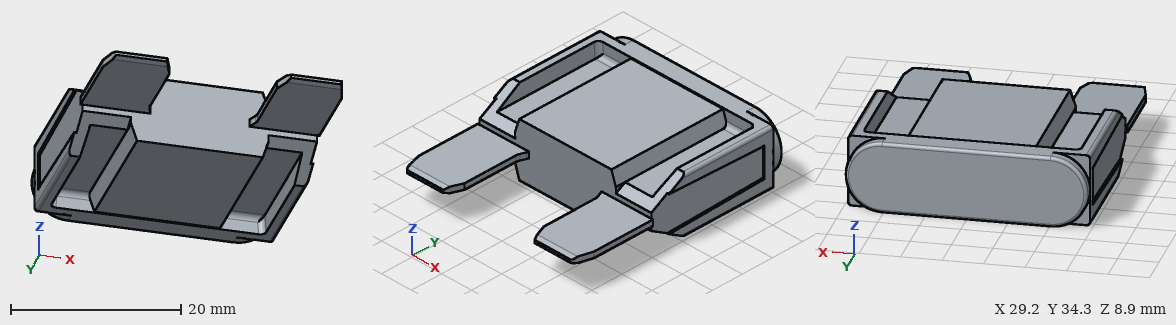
import cadquery as cq
import math


WIDTH = 29.2
HEIGHT = 8.9
TOTAL_LENGTH = 34.3
BLADE_LENGTH = 12.7
HOUSING_LENGTH = TOTAL_LENGTH - BLADE_LENGTH
CAP_THICKNESS = 1.6
CAP_EDGE_RADIUS = 0.4
LONG_EDGE_RADIUS = 0.48
BEVEL_LENGTH = 5.5
BEVEL_ANGLE = 30.0

BACK_WALL = 3.1
POCKET_BACK = HOUSING_LENGTH - BACK_WALL
POCKET_FLOOR = 2.15
POCKET_FLOOR_WIDTH = 25.87
POCKET_RIM_WIDTH = 26.2
POCKET_RADIUS = 0.72

BLOCK_HEIGHT = 8.6
BLOCK_TOP_WIDTH = 15.37
BLOCK_BASE_WIDTH = 16.8

PANEL_DEPTH = 0.27
PANEL_BACK = POCKET_BACK
PANEL_BACK_HEIGHT = 4.63
PANEL_FRONT_HEIGHT = 5.75

BLADE_THICKNESS = 0.93
BLADE_INNER_X = 6.6
BLADE_OUTER_X = WIDTH / 2
ROOT_INNER = (6.05, 0)
ROOT_SLOPE_START = (6.18, -0.35)
ROOT_SLOPE_END = (6.5, -1.1)
ROOT_LENGTH = 1.6
INNER_TAPER_START = 10.15
OUTER_TAPER_START = 9.78
TIP_INNER_X = 7.58
TIP_OUTER_X = 13.8
TIP_CORNER_RADIUS = 0.27
TIP_CHAMFER_LENGTH = 0.8
TIP_CHAMFER_DEPTH = 0.25


def on_both_sides(shape, plane):
    """Return the shape joined with its mirror image."""
    return shape.union(shape.mirror(plane))


def make_housing():
    """Box with rounded long edges, bevelled down to a thin front edge."""
    body_length = HOUSING_LENGTH - CAP_THICKNESS
    body = (
        cq.Workplane("XY")
        .box(WIDTH, body_length, HEIGHT, centered=(True, False, True))
        .edges("|Y")
        .fillet(LONG_EDGE_RADIUS)
    )
    bevel_drop = BEVEL_LENGTH * math.tan(math.radians(BEVEL_ANGLE))
    bevel = (
        cq.Workplane("YZ")
        .moveTo(0, HEIGHT / 2 - bevel_drop)
        .lineTo(BEVEL_LENGTH, HEIGHT / 2)
        .lineTo(0, HEIGHT / 2)
        .close()
        .extrude(WIDTH / 2, both=True)
    )
    return body.cut(on_both_sides(bevel, "XY"))


def make_cap():
    """Back plate with semicircular ends and a rounded rear rim."""
    return (
        cq.Workplane("XZ", origin=(0, HOUSING_LENGTH, 0))
        .slot2D(WIDTH, HEIGHT)
        .extrude(CAP_THICKNESS)
        .faces(">Y")
        .edges()
        .fillet(CAP_EDGE_RADIUS)
    )


def make_pocket():
    """Upper pocket, open at the front, with sides that flare towards the rim."""
    section = [
        (-POCKET_FLOOR_WIDTH / 2, POCKET_FLOOR),
        (POCKET_FLOOR_WIDTH / 2, POCKET_FLOOR),
        (POCKET_RIM_WIDTH / 2, HEIGHT / 2),
        (-POCKET_RIM_WIDTH / 2, HEIGHT / 2),
    ]
    return (
        cq.Workplane("XZ", origin=(0, POCKET_BACK, 0))
        .polyline(section)
        .close()
        .extrude(POCKET_BACK)
        .faces(">Y")
        .edges("not(>Z)")
        .fillet(POCKET_RADIUS)
    )


def make_block():
    """Central block whose flanks slope in above the pocket floors."""
    upper_flank = [
        (BLOCK_BASE_WIDTH / 2, POCKET_FLOOR),
        (BLOCK_TOP_WIDTH / 2, BLOCK_HEIGHT / 2),
    ]
    right_side = [(x, -z) for x, z in reversed(upper_flank)] + upper_flank
    left_side = [(-x, -z) for x, z in right_side]
    return (
        cq.Workplane("XZ", origin=(0, POCKET_BACK, 0))
        .polyline(right_side + left_side)
        .close()
        .extrude(POCKET_BACK)
    )


def make_side_panel():
    """Shallow recess in the +X side, widening towards the front."""
    outline = [
        (0, -PANEL_FRONT_HEIGHT / 2),
        (PANEL_BACK, -PANEL_BACK_HEIGHT / 2),
        (PANEL_BACK, PANEL_BACK_HEIGHT / 2),
        (0, PANEL_FRONT_HEIGHT / 2),
    ]
    return (
        cq.Workplane("YZ", origin=(WIDTH / 2 - PANEL_DEPTH, 0, 0))
        .polyline(outline)
        .close()
        .extrude(PANEL_DEPTH)
    )


def make_blade():
    """Blade on the +X side, flared at its root, tapered and chamfered at its tip."""
    blade = (
        cq.Workplane("XY")
        .moveTo(BLADE_OUTER_X, 0)
        .lineTo(BLADE_OUTER_X, -OUTER_TAPER_START)
        .lineTo(TIP_OUTER_X, -BLADE_LENGTH)
        .lineTo(TIP_INNER_X, -BLADE_LENGTH)
        .lineTo(BLADE_INNER_X, -INNER_TAPER_START)
        .lineTo(BLADE_INNER_X, -ROOT_LENGTH)
        .tangentArcPoint(ROOT_SLOPE_END, relative=False)
        .lineTo(*ROOT_SLOPE_START)
        .tangentArcPoint(ROOT_INNER, relative=False)
        .close()
        .extrude(BLADE_THICKNESS / 2, both=True)
    )
    outer_tip_corner = cq.selectors.NearestToPointSelector((TIP_OUTER_X, -BLADE_LENGTH, 0))
    blade = blade.edges("|Z").edges(outer_tip_corner).fillet(TIP_CORNER_RADIUS)
    tip_chamfer = (
        cq.Workplane("YZ")
        .moveTo(-BLADE_LENGTH, BLADE_THICKNESS / 2)
        .lineTo(-BLADE_LENGTH, BLADE_THICKNESS / 2 - TIP_CHAMFER_DEPTH)
        .lineTo(-BLADE_LENGTH + TIP_CHAMFER_LENGTH, BLADE_THICKNESS / 2)
        .close()
        .extrude(BLADE_OUTER_X)
    )
    return blade.cut(on_both_sides(tip_chamfer, "XY"))


housing = make_housing().union(make_cap())
housing = housing.cut(on_both_sides(make_pocket(), "XY"))
housing = housing.cut(on_both_sides(make_side_panel(), "YZ"))
result = housing.union(make_block()).union(on_both_sides(make_blade(), "YZ"))